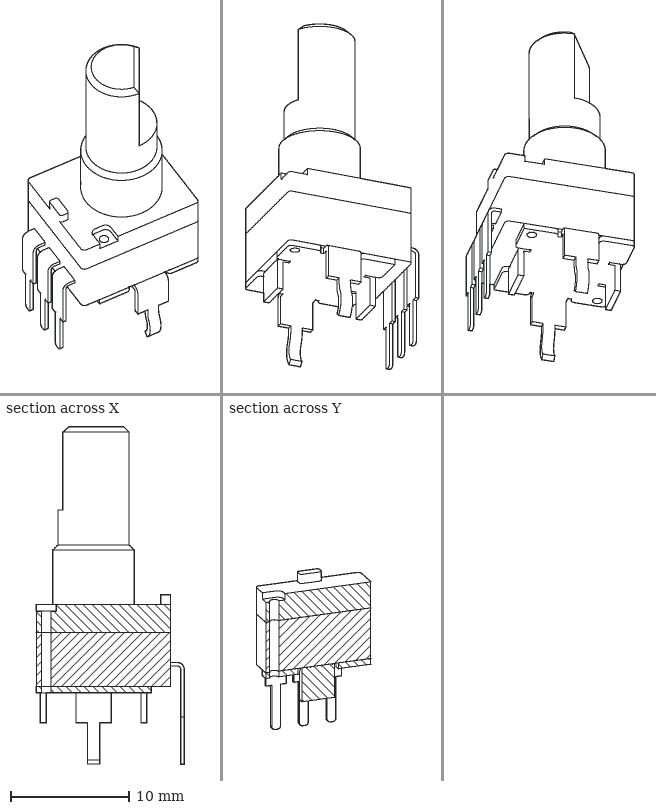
import cadquery as cq
import math


HOUSING_WIDTH = 9.52
HOUSING_BACK = 4.85
HOUSING_FRONT = -6.5
BACK_CORNER_RADIUS = 0.28
FRONT_CORNER_RADIUS = 0.37
BASE_TOP = 4.55
COVER_TOP = 6.95

BUSHING_DIAMETER = 6.9
BUSHING_TOP = 11.97

SHAFT_DIAMETER = 6.0
SHAFT_TOP = 21.95
SHAFT_CHAMFER = 0.45
FLAT_DISTANCE = 1.5
FLAT_LENGTH = 7.0
FLAT_ANGLE = 60

TAB_WIDTH = 2.0
TAB_DEPTH = 0.83
TAB_HEIGHT = 0.83
TAB_CORNER_RADIUS = 0.2

RIVET_DIAMETER = 0.8
RIVET_OFFSET = 4.0
POCKET_DEPTH = 0.57
POCKET_INNER_X = 3.05
POCKET_RADIUS = 0.5
BACK_POCKET_FRONT = 3.15
FRONT_POCKET_BACK = -3.08
FRONT_POCKET_FRONT = -4.82

SHEET = 0.5
BRACKET_FRONT = -4.87
LEG_WIDTH = 3.0
LEG_BOTTOM = -3.05
LEG_REACH = 4.5
LEG_INNER_BEND = 0.03
LEG_OUTER_BEND = LEG_INNER_BEND + SHEET
NOTCH_DEPTH = 0.5
LEG_ROOT = LEG_OUTER_BEND + NOTCH_DEPTH
NOTCH_CLEARANCE = 0.3
NOTCH_RADIUS = 0.37

CLIP_REACH = 5.4
CLIP_SPAN = 11.6
TAIL_WIDTH = 1.05
TAIL_CURVE_START = -3.48
TAIL_UPPER_RADIUS = 1.77
TAIL_LOWER_RADIUS = 1.97
TAIL_TIP_ANGLE = math.radians(-43)

TERMINAL_COUNT = 3
TERMINAL_PITCH = 2.5
TERMINAL_SHEET = 0.3
TERMINAL_TOP = 2.05
TERMINAL_FRONT = -7.67
TERMINAL_BEND = 0.6
TERMINAL_WIDTH = 1.82
TERMINAL_SHOULDER = -2.55
PIN_WIDTH = 0.8
PIN_BOTTOM = SHAFT_TOP - 28.5
PIN_TIP_RADIUS = 0.28


def block(x_range, y_range, z_range):
    """Box given by its two limits along each axis."""
    sizes = [high - low for low, high in (x_range, y_range, z_range)]
    corner = (x_range[0], y_range[0], z_range[0])
    return cq.Workplane("XY").box(*sizes, centered=False).translate(corner)


def cylinder(diameter, bottom, top):
    """Upright cylinder on the shaft axis."""
    return cq.Workplane("XY").workplane(offset=bottom).circle(diameter / 2).extrude(top - bottom)


def housing_block(bottom, top):
    """Block with the housing outline and its rounded upright corners."""
    half_width = HOUSING_WIDTH / 2
    body = block((-half_width, half_width), (HOUSING_FRONT, HOUSING_BACK), (bottom, top))
    body = body.edges("|Z and >Y").fillet(BACK_CORNER_RADIUS)
    return body.edges("|Z and <Y").fillet(FRONT_CORNER_RADIUS)


def drill_rivet_holes(body):
    """Drill both rivet holes through the full height of a body."""
    centers = [(-RIVET_OFFSET, RIVET_OFFSET), (RIVET_OFFSET, -RIVET_OFFSET)]
    drills = (
        cq.Workplane("XY")
        .workplane(offset=-SHEET)
        .pushPoints(centers)
        .circle(RIVET_DIAMETER / 2)
        .extrude(COVER_TOP + SHEET)
    )
    return body.cut(drills)


def make_shaft():
    """D-shaft standing on the base, with a flat near its top and a chamfered end."""
    flat_cutter = block(
        (FLAT_DISTANCE, SHAFT_DIAMETER),
        (-SHAFT_DIAMETER, SHAFT_DIAMETER),
        (SHAFT_TOP - FLAT_LENGTH, SHAFT_TOP),
    )
    shaft = cylinder(SHAFT_DIAMETER, BASE_TOP, SHAFT_TOP).cut(flat_cutter)
    shaft = shaft.faces(">Z").chamfer(SHAFT_CHAMFER)
    return shaft.rotate((0, 0, 0), (0, 0, 1), FLAT_ANGLE)


def make_rivet_pockets():
    """Cutters for the recess around each rivet hole, open at the sides of the cover."""
    half_width = HOUSING_WIDTH / 2
    depth_range = (COVER_TOP - POCKET_DEPTH, COVER_TOP)
    back_pocket = block((-half_width, -POCKET_INNER_X), (BACK_POCKET_FRONT, HOUSING_BACK), depth_range)
    back_pocket = back_pocket.edges("|Z and >X and <Y").fillet(POCKET_RADIUS)
    front_pocket = block((POCKET_INNER_X, half_width), (FRONT_POCKET_FRONT, FRONT_POCKET_BACK), depth_range)
    front_pocket = front_pocket.edges("|Z and <X").fillet(POCKET_RADIUS)
    return back_pocket.union(front_pocket)


def make_cover():
    """Cover with its bushing, locating tab and rivet pockets, bored for the shaft."""
    bushing_chamfer = (BUSHING_DIAMETER - SHAFT_DIAMETER) / 2
    bushing = cylinder(BUSHING_DIAMETER, BASE_TOP, BUSHING_TOP).faces(">Z").chamfer(bushing_chamfer)
    tab = block(
        (-TAB_WIDTH / 2, TAB_WIDTH / 2),
        (HOUSING_FRONT, HOUSING_FRONT + TAB_DEPTH),
        (COVER_TOP, COVER_TOP + TAB_HEIGHT),
    )
    cover = housing_block(BASE_TOP, COVER_TOP)
    cover = cover.cut(make_rivet_pockets())
    cover = cover.union(bushing)
    cover = cover.union(tab.edges("|Z").fillet(TAB_CORNER_RADIUS))
    cover = cover.cut(cylinder(SHAFT_DIAMETER, BASE_TOP, BUSHING_TOP))
    return drill_rivet_holes(cover)


def make_base():
    """Lower housing block."""
    return drill_rivet_holes(housing_block(0, BASE_TOP))


def make_notch(reach, edge):
    """Cutter that frees a leg pointing along +X, with rounded mouth corners at the plate edge."""
    half_width = LEG_WIDTH / 2 + NOTCH_CLEARANCE
    inner = reach - LEG_ROOT
    straight = edge - NOTCH_RADIUS
    return (
        cq.Workplane("XY")
        .moveTo(inner, -half_width)
        .lineTo(inner, half_width)
        .lineTo(straight, half_width)
        .radiusArc((edge, half_width + NOTCH_RADIUS), -NOTCH_RADIUS)
        .lineTo(edge, -half_width - NOTCH_RADIUS)
        .radiusArc((straight, -half_width), -NOTCH_RADIUS)
        .close()
        .extrude(-SHEET)
    )


def make_leg(reach):
    """Strip that runs along +X from the floor of its notch and then bends down."""
    root = reach - LEG_ROOT
    return (
        cq.Workplane("XZ")
        .moveTo(root, 0)
        .lineTo(reach - LEG_OUTER_BEND, 0)
        .tangentArcPoint((LEG_OUTER_BEND, -LEG_OUTER_BEND))
        .lineTo(reach, LEG_BOTTOM)
        .lineTo(reach - SHEET, LEG_BOTTOM)
        .lineTo(reach - SHEET, -LEG_OUTER_BEND)
        .tangentArcPoint((-LEG_INNER_BEND, LEG_INNER_BEND))
        .lineTo(root, -SHEET)
        .close()
        .extrude(LEG_WIDTH / 2, both=True)
    )


def polar(center, radius, angle):
    """Point at an angle on a circle."""
    return (center[0] + radius * math.cos(angle), center[1] + radius * math.sin(angle))


def make_clip_tail():
    """Narrow S-shaped tail of a +X clip: it curves outward and then back inward."""
    bulge = CLIP_SPAN / 2 - CLIP_REACH
    center_distance = TAIL_UPPER_RADIUS + TAIL_LOWER_RADIUS
    swing = math.acos(1 - bulge / center_distance)
    upper_center = (CLIP_REACH + TAIL_UPPER_RADIUS, TAIL_CURVE_START)
    lower_center = polar(upper_center, center_distance, math.pi + swing)
    inner_upper = TAIL_UPPER_RADIUS + SHEET
    inner_lower = TAIL_LOWER_RADIUS - SHEET
    upper_middle = math.pi + swing / 2
    lower_middle = (swing + TAIL_TIP_ANGLE) / 2
    return (
        cq.Workplane("XZ")
        .moveTo(CLIP_REACH - SHEET, LEG_BOTTOM)
        .lineTo(CLIP_REACH, LEG_BOTTOM)
        .lineTo(CLIP_REACH, TAIL_CURVE_START)
        .threePointArc(
            polar(upper_center, TAIL_UPPER_RADIUS, upper_middle),
            polar(lower_center, TAIL_LOWER_RADIUS, swing),
        )
        .threePointArc(
            polar(lower_center, TAIL_LOWER_RADIUS, lower_middle),
            polar(lower_center, TAIL_LOWER_RADIUS, TAIL_TIP_ANGLE),
        )
        .lineTo(*polar(lower_center, inner_lower, TAIL_TIP_ANGLE))
        .threePointArc(
            polar(lower_center, inner_lower, lower_middle),
            polar(lower_center, inner_lower, swing),
        )
        .threePointArc(
            polar(upper_center, inner_upper, upper_middle),
            (CLIP_REACH - SHEET, TAIL_CURVE_START),
        )
        .close()
        .extrude(TAIL_WIDTH / 2, both=True)
    )


def make_bracket():
    """Plate under the base with two snap clips at the sides and a plain leg at front and back."""
    half_width = HOUSING_WIDTH / 2
    plain_leg = make_leg(LEG_REACH)
    clip = make_leg(CLIP_REACH).union(make_clip_tail())
    legs = [
        (0, clip, CLIP_REACH, half_width),
        (90, plain_leg, LEG_REACH, HOUSING_BACK),
        (180, clip, CLIP_REACH, half_width),
        (270, plain_leg, LEG_REACH, -BRACKET_FRONT),
    ]
    bracket = block((-half_width, half_width), (BRACKET_FRONT, HOUSING_BACK), (-SHEET, 0))
    bracket = bracket.edges("|Z and >Y").fillet(BACK_CORNER_RADIUS)
    for angle, leg, reach, edge in legs:
        notch = make_notch(reach, edge)
        bracket = bracket.cut(notch.rotate((0, 0, 0), (0, 0, 1), angle))
        bracket = bracket.union(leg.rotate((0, 0, 0), (0, 0, 1), angle))
    return drill_rivet_holes(bracket)


def make_terminal():
    """Sheet terminal on the YZ plane, bent down in front of the base and narrowed to a round-ended pin."""
    inner_bend = TERMINAL_BEND - TERMINAL_SHEET
    strip = (
        cq.Workplane("YZ")
        .moveTo(HOUSING_FRONT, TERMINAL_TOP)
        .lineTo(TERMINAL_FRONT + TERMINAL_BEND, TERMINAL_TOP)
        .tangentArcPoint((-TERMINAL_BEND, -TERMINAL_BEND))
        .lineTo(TERMINAL_FRONT, TERMINAL_SHOULDER)
        .lineTo(TERMINAL_FRONT + TERMINAL_SHEET, TERMINAL_SHOULDER)
        .lineTo(TERMINAL_FRONT + TERMINAL_SHEET, TERMINAL_TOP - TERMINAL_BEND)
        .tangentArcPoint((inner_bend, inner_bend))
        .lineTo(HOUSING_FRONT, TERMINAL_TOP - TERMINAL_SHEET)
        .close()
        .extrude(TERMINAL_WIDTH / 2, both=True)
    )
    pin = block(
        (-PIN_WIDTH / 2, PIN_WIDTH / 2),
        (TERMINAL_FRONT, TERMINAL_FRONT + TERMINAL_SHEET),
        (PIN_BOTTOM, TERMINAL_SHOULDER),
    )
    return strip.union(pin.edges("|Y and <Z").fillet(PIN_TIP_RADIUS))


shaft = make_shaft()
cover = make_cover()
base = make_base()
bracket = make_bracket()

terminals = []
for index in range(TERMINAL_COUNT):
    offset = (index - (TERMINAL_COUNT - 1) / 2) * TERMINAL_PITCH
    terminals.append(make_terminal().translate((offset, 0, 0)).val())

result = cq.Compound.makeCompound([shaft.val(), cover.val(), base.val(), bracket.val(), *terminals])